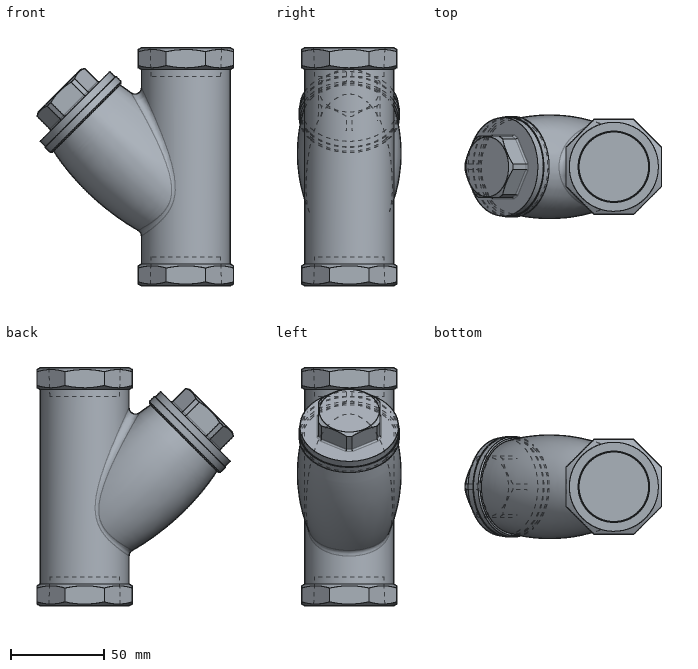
import cadquery as cq
import math

total_height = 128.0
pipe_diameter = 47.9
nut_sides = 8
nut_flats = 51.2
nut_height = 11.8
nut_face_diameter = 47.9
corner_chamfer_angle = math.radians(30)
socket_mouth_diameter = 38.4
socket_floor_diameter = 37.4
socket_depth = 15.5

branch_angle = 45.0
branch_root_z = -27.1
barrel_length = 75.4
barrel_diameter = 55.8
barrel_middle = 48.6
barrel_arc_radius = 135.7
root_fillet = 3.5

flange_diameter = 54.0
flange_thickness = 4.7
flange_chamfer = 0.8
cap_diameter = 53.0
cap_thickness = 4.1
hex_sides = 6
hex_flats = 33.0
hex_envelope_diameter = 38.7
hex_corner_width = 36.4
hex_height = 11.9
hex_face_diameter = 32.3
hex_base_fillet = 0.9

selection_margin = 0.1


def prism(sides, flats, height, turn):
    """Upright regular prism on Z = 0, turned about Z by an angle in degrees."""
    corner_diameter = flats / math.cos(math.pi / sides)
    solid = cq.Workplane("XY").polygon(sides, corner_diameter).extrude(height)
    return solid.rotate((0, 0, 0), (0, 0, 1), turn)


def chamfer_envelope(face_diameter, widest_diameter, height, both_ends):
    """Solid of revolution that trims prism corners at the top, or at both ends."""
    face_radius = face_diameter / 2
    outer_radius = widest_diameter / 2
    drop = (outer_radius - face_radius) * math.tan(corner_chamfer_angle)
    profile = cq.Workplane("XZ").moveTo(0, 0)
    if both_ends:
        profile = profile.lineTo(face_radius, 0).lineTo(outer_radius, drop)
    else:
        profile = profile.lineTo(outer_radius, 0)
    profile = profile.lineTo(outer_radius, height - drop).lineTo(face_radius, height).lineTo(0, height)
    return profile.close().revolve(360, (0, 0, 0), (0, 1, 0))


def end_nut():
    corner_diameter = nut_flats / math.cos(math.pi / nut_sides)
    nut = prism(nut_sides, nut_flats, nut_height, 180 / nut_sides)
    return nut.intersect(chamfer_envelope(nut_face_diameter, corner_diameter, nut_height, True))


def socket():
    """Slightly tapered blind socket with its mouth on Z = 0, going down."""
    return (
        cq.Workplane("XY").circle(socket_mouth_diameter / 2)
        .workplane(offset=-socket_depth).circle(socket_floor_diameter / 2)
        .loft(ruled=True)
    )


def barrel_radius(distance):
    """Radius of the arched barrel at a distance along the branch axis."""
    arc_centre = barrel_diameter / 2 - barrel_arc_radius
    return arc_centre + math.sqrt(barrel_arc_radius**2 - (distance - barrel_middle) ** 2)


def along_branch(solid):
    """Tilt a solid built on +Z onto the branch axis."""
    return solid.rotate((0, 0, 0), (0, 1, 0), -branch_angle).translate((0, 0, branch_root_z))


def barrel():
    profile = (
        cq.Workplane("XZ").lineTo(barrel_radius(0), 0)
        .threePointArc((barrel_diameter / 2, barrel_middle), (barrel_radius(barrel_length), barrel_length))
        .lineTo(0, barrel_length).close()
    )
    return profile.revolve(360, (0, 0, 0), (0, 1, 0))


def cap():
    flange = cq.Workplane("XY").circle(flange_diameter / 2).extrude(flange_thickness)
    flange = flange.faces("<Z").chamfer(flange_chamfer)
    disc = cq.Workplane("XY").circle(cap_diameter / 2).extrude(cap_thickness)
    disc = disc.translate((0, 0, flange_thickness))

    head = prism(hex_sides, hex_flats, hex_height, 0)
    head = head.intersect(prism(hex_sides, hex_corner_width, hex_height, 180 / hex_sides))
    head = head.intersect(chamfer_envelope(hex_face_diameter, hex_envelope_diameter, hex_height, False))
    cap_face = flange_thickness + cap_thickness
    head = head.translate((0, 0, cap_face))
    head_base = cq.selectors.BoxSelector(
        (-cap_diameter, -cap_diameter, cap_face - selection_margin),
        (cap_diameter, cap_diameter, cap_face + selection_margin),
    )
    capped = disc.union(head)
    capped = capped.edges(head_base).edges("%LINE").fillet(hex_base_fillet)
    return flange.union(capped).translate((0, 0, barrel_length))


pipe = cq.Workplane("XY").circle(pipe_diameter / 2).extrude(total_height)
pipe = pipe.translate((0, 0, -total_height / 2))
body = pipe.union(along_branch(barrel()))
junction = cq.selectors.BoxSelector(
    (-pipe_diameter, -pipe_diameter, selection_margin - total_height / 2),
    (0, pipe_diameter, total_height / 2 - selection_margin),
)
body = body.edges(junction).edges("not %LINE").edges("not %CIRCLE").fillet(root_fillet)

body = body.union(along_branch(cap()))
for flip in (0, 180):
    nut = end_nut().translate((0, 0, total_height / 2 - nut_height))
    body = body.union(nut.rotate((0, 0, 0), (1, 0, 0), flip))
    bore = socket().translate((0, 0, total_height / 2))
    body = body.cut(bore.rotate((0, 0, 0), (1, 0, 0), flip))

result = body